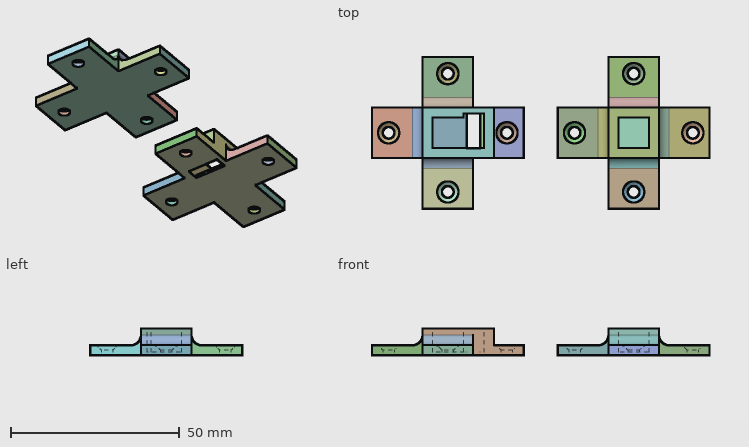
import cadquery as cq

span = 45.0
arm_width = 15.0
arm_thickness = 3.0
hub_height = 8.0
fillet_radius = 3.0
center_distance = 55.0

screw_diameter = 3.4
countersink_diameter = 6.3
countersink_angle = 90.0
screw_inset = 5.0

pocket_side = 9.1
pocket_floor = 1.0

latch_hub_length = 21.2
notch_offset = 9.2
notch_depth = 1.1
window_length = 3.9
window_ledge = 1.2

hub_start = -arm_width / 2
wall = (arm_width - pocket_side) / 2
pocket_start = hub_start + wall
latch_pocket_length = latch_hub_length - 2 * wall


def corner_box(x, y, z, length, width, height):
    """Box that grows from its lowest corner."""
    return cq.Workplane("XY").box(length, width, height, centered=False).translate((x, y, z))


def arm_fillet(angle):
    """Concave blend between the hub wall and the arm that points along angle."""
    hub_wall = arm_width / 2
    profile = (
        cq.Workplane("XZ", origin=(0, arm_width / 2, 0))
        .moveTo(hub_wall, arm_thickness)
        .lineTo(hub_wall + fillet_radius, arm_thickness)
        .radiusArc((hub_wall, arm_thickness + fillet_radius), fillet_radius)
        .close()
    )
    return profile.extrude(arm_width).rotate((0, 0, 0), (0, 0, 1), angle)


def cross_plate(hub_length, filleted_arms):
    """Four drilled arms around a raised solid hub, centered on the origin."""
    arm_x = cq.Workplane("XY").box(span, arm_width, arm_thickness, centered=(True, True, False))
    arm_y = cq.Workplane("XY").box(arm_width, span, arm_thickness, centered=(True, True, False))
    hub = corner_box(hub_start, hub_start, 0, hub_length, arm_width, hub_height)
    plate = arm_x.union(arm_y).union(hub)
    for angle in filleted_arms:
        plate = plate.union(arm_fillet(angle))
    reach = span / 2 - screw_inset
    return (
        cq.Workplane("XY", origin=(0, 0, arm_thickness)).add(plate)
        .pushPoints([(reach, 0), (-reach, 0), (0, reach), (0, -reach)])
        .cskHole(screw_diameter, countersink_diameter, countersink_angle)
    )


def cut_pocket(plate, length):
    """Blind rectangular pocket in the top of the hub."""
    return plate.cut(
        corner_box(pocket_start, pocket_start, pocket_floor, length, pocket_side, hub_height)
    )


def make_keeper():
    """Plate with a plain square pocket."""
    return cut_pocket(cross_plate(arm_width, (0, 90, 180, 270)), pocket_side)


def make_latch():
    """Plate with a long pocket, a side notch and a window through the floor."""
    plate = cut_pocket(cross_plate(latch_hub_length, (90, 180, 270)), latch_pocket_length)
    pocket_end = pocket_start + latch_pocket_length
    deep_width = pocket_side + notch_depth
    notch_start = pocket_start + notch_offset
    notch = corner_box(
        notch_start, pocket_start, pocket_floor, pocket_end - notch_start, deep_width, hub_height
    )
    window_start = pocket_end - window_ledge - window_length
    window = corner_box(window_start, pocket_start, 0, window_length, deep_width, hub_height)
    return plate.cut(notch).cut(window)


latch = make_latch().translate((-center_distance / 2, 0, 0))
keeper = make_keeper().translate((center_distance / 2, 0, 0))

result = cq.Compound.makeCompound([latch.val(), keeper.val()])